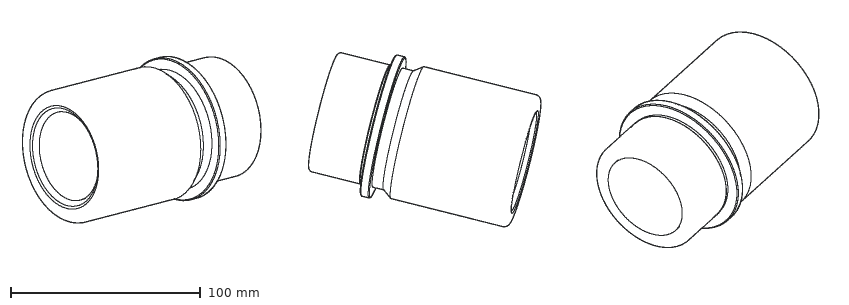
import cadquery as cq
import math

length = 110.0
front_y = -length / 2
rear_y = length / 2

flange_radius = 38.5
body_radius = 36.0
neck_radius = 32.5
groove_radius = 32.1

body_length = 64.0
shoulder_length = 4.8
front_neck_length = 5.9
flange_width = 5.1
groove_width = 1.5

body_round = 3.0
neck_round = 2.0
flange_chamfer = 0.5
neck_chamfer = neck_radius - groove_radius

bore_radius = 24.0
flare_radius = 26.5
flare_angle = math.radians(45)
mouth_round = 2.0

shoulder_start = front_y + body_length
shoulder_end = shoulder_start + shoulder_length
flange_front = shoulder_end + front_neck_length
flange_rear = flange_front + flange_width
groove_rear = flange_rear + groove_width


def turn(profile):
    """Revolve a closed XY profile about the Y axis."""
    return profile.close().revolve(360, (0, 0, 0), (0, 1, 0))


def ring(radius, start, end):
    """Solid cylinder along Y between two stations."""
    profile = (
        cq.Workplane("XY")
        .moveTo(0, start)
        .lineTo(radius, start)
        .lineTo(radius, end)
        .lineTo(0, end)
    )
    return turn(profile)


def make_body():
    """Wide front barrel and the conical shoulder down to the neck."""
    profile = (
        cq.Workplane("XY")
        .moveTo(0, front_y)
        .lineTo(body_radius - body_round, front_y)
        .radiusArc((body_radius, front_y + body_round), -body_round)
        .lineTo(body_radius, shoulder_start)
        .lineTo(neck_radius, shoulder_end)
        .lineTo(0, shoulder_end)
    )
    return turn(profile)


def make_flange():
    flange = ring(flange_radius, flange_front, flange_rear)
    return flange.edges("%CIRCLE").chamfer(flange_chamfer)


def make_rear_neck():
    neck = ring(neck_radius, groove_rear, rear_y)
    neck = neck.faces(">Y").edges().fillet(neck_round)
    return neck.faces("<Y").edges().chamfer(neck_chamfer)


def make_bore():
    """Through bore with a conical flare at the front; its lip round is tangent to flare and end face."""
    lip_end = front_y + mouth_round * (1 - math.cos(flare_angle))
    mouth_radius = flare_radius + mouth_round * math.sin(flare_angle)
    flare_end = lip_end + (flare_radius - bore_radius) / math.tan(flare_angle)
    profile = (
        cq.Workplane("XY")
        .moveTo(0, front_y)
        .lineTo(mouth_radius, front_y)
        .radiusArc((flare_radius, lip_end), -mouth_round)
        .lineTo(bore_radius, flare_end)
        .lineTo(bore_radius, rear_y)
        .lineTo(0, rear_y)
    )
    return turn(profile)


front_neck = ring(neck_radius, shoulder_end, flange_front)
groove = ring(groove_radius, flange_rear, groove_rear)

result = (
    make_body()
    .union(front_neck)
    .union(make_flange())
    .union(groove)
    .union(make_rear_neck())
    .cut(make_bore())
)